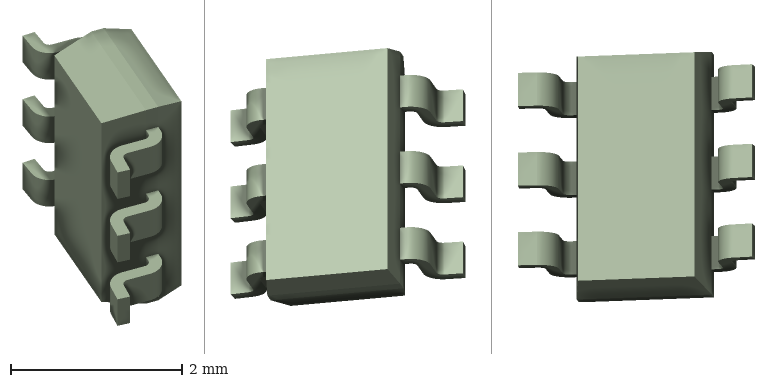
import cadquery as cq
import math


body_length = 2.9
body_width = 1.6
overall_width = 2.8
overall_height = 1.1

standoff = 0.1
back_height = 0.325
draft_angle = 12.0

lead_thickness = 0.157
lead_width = 0.397
lead_pitch = 0.95
leads_per_side = 3
leg_outer_x = 1.105
inner_radius = 0.078
foot_angle = 4.0

body_half_width = body_width / 2
band_back_y = overall_height - back_height
band_front_y = band_back_y - lead_thickness
front_height = band_front_y - standoff
outer_radius = inner_radius + lead_thickness
leg_inner_x = leg_outer_x - lead_thickness


def polar(center, radius, degrees):
    """Point at a radius and angle from a center in the XY plane."""
    angle = math.radians(degrees)
    return (center[0] + radius * math.cos(angle), center[1] + radius * math.sin(angle))


def body_section(y, direction):
    """Body outline in the plane at y, ready to extrude toward +Y or -Y."""
    plane = cq.Plane(origin=(0, y, 0), xDir=(1, 0, 0), normal=(0, direction, 0))
    return cq.Workplane(plane).rect(body_width, body_length)


def make_housing():
    """Straight parting band with a drafted block on each side of it."""
    band = body_section(band_front_y, 1).extrude(lead_thickness)
    back = body_section(band_back_y, 1).extrude(back_height, taper=draft_angle)
    front = body_section(band_front_y, -1).extrude(front_height, taper=draft_angle)
    return band.union(back).union(front)


def make_lead():
    """Gull-wing lead on the +X side, centered on Z = 0 and butting against the band."""
    droop = math.radians(foot_angle)
    foot_end = 270 - foot_angle
    bend_mid = (180 + foot_end) / 2

    lower_x = leg_outer_x + inner_radius
    tip_x = overall_width / 2
    foot_length = (tip_x - lower_x + inner_radius * math.sin(droop)) / math.cos(droop)
    lower_y = outer_radius * math.cos(droop) + foot_length * math.sin(droop)
    lower_center = (lower_x, lower_y)
    upper_center = (leg_inner_x - inner_radius, band_front_y - inner_radius)

    tip_upper = (tip_x, lead_thickness * math.cos(droop))
    tip_lower = (tip_x - lead_thickness * math.sin(droop), 0)

    return (
        cq.Workplane("XY", origin=(0, 0, -lead_width / 2))
        .moveTo(body_half_width, band_back_y)
        .lineTo(*polar(upper_center, outer_radius, 90))
        .threePointArc(polar(upper_center, outer_radius, 45), polar(upper_center, outer_radius, 0))
        .lineTo(*polar(lower_center, inner_radius, 180))
        .threePointArc(
            polar(lower_center, inner_radius, bend_mid),
            polar(lower_center, inner_radius, foot_end),
        )
        .lineTo(*tip_upper)
        .lineTo(*tip_lower)
        .lineTo(*polar(lower_center, outer_radius, foot_end))
        .threePointArc(
            polar(lower_center, outer_radius, bend_mid),
            polar(lower_center, outer_radius, 180),
        )
        .lineTo(*polar(upper_center, inner_radius, 0))
        .threePointArc(polar(upper_center, inner_radius, 45), polar(upper_center, inner_radius, 90))
        .lineTo(body_half_width, band_front_y)
        .close()
        .extrude(lead_width)
    )


housing = make_housing()

right_lead = make_lead()
left_lead = right_lead.mirror("YZ")
leads = []
for row in range(leads_per_side):
    lead_z = (row - (leads_per_side - 1) / 2) * lead_pitch
    for lead in (left_lead, right_lead):
        leads.append(lead.translate((0, 0, lead_z)).val())

result = cq.Compound.makeCompound([housing.solids().val(), *leads])